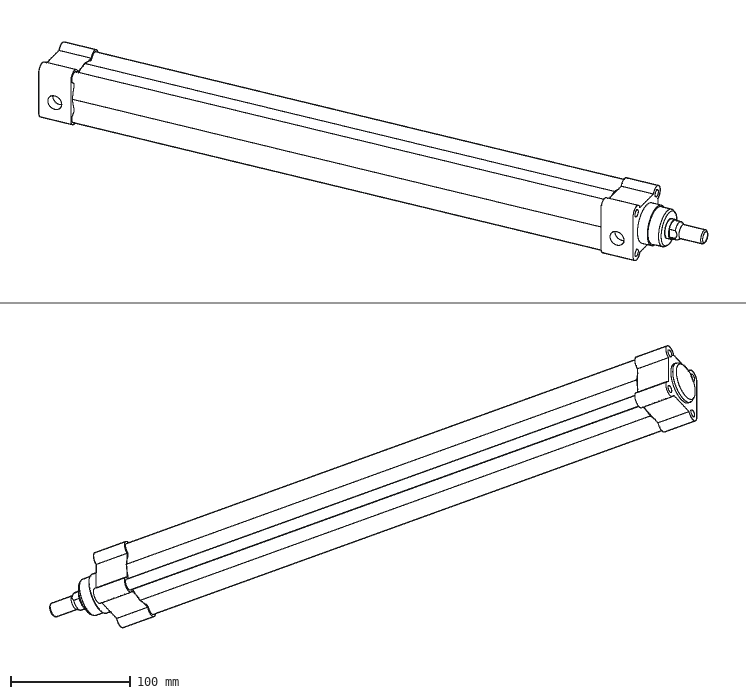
import cadquery as cq
import math

overall_length = 614.0
rear_boss_length = 4.0
cap_length = 30.0
front_boss_length = 21.0
barrel_length = 494.5
rear_cap_start = rear_boss_length
barrel_start = rear_cap_start + cap_length
front_cap_start = barrel_start + barrel_length
front_cap_end = front_cap_start + cap_length
front_boss_end = front_cap_end + front_boss_length

cap_width = 51.5
cap_corner_radius = 13.5 / 2
cap_recess_depth = 4.0
screw_hole_diameter = 6.0
screw_hole_depth = 5.0
screw_core_diameter = 3.5
screw_core_depth = 10.0
port_diameter = 13.0
port_depth = 9.0
port_drop = 5.5
cap_half = cap_width / 2
cap_lobe_offset = cap_half - cap_corner_radius
cap_floor = cap_half - cap_recess_depth
screw_spacing = 2 * cap_lobe_offset

boss_diameter = 35.0
rear_boss_chamfer_length = 2.5
rear_boss_chamfer_height = 2.0
boss_shoulder_length = 9.0
boss_nose_diameter = 32.5
nose_chamfer_length = 2.0
nose_chamfer_height = 1.0

barrel_radius = 45.0 / 2
barrel_lobe_radius = 5.0
barrel_lobe_offset = 19.0
barrel_fillet_radius = 3.5
ridge_half_angle = 12.0
barrel_side_count = 4
barrel_side_angle = 360 / barrel_side_count
barrel_lobe_angle = barrel_side_angle / 2

rod_diameter = 16.0
thread_diameter = 12.0
rod_flat_width = 14.0
rod_collar_diameter = 17.0
rod_collar_length = 3.5
rod_body_end = 592.0
rod_shoulder_chamfer = 3.0
thread_tip_chamfer = 1.0


def polar(radius, degrees):
    """Point at a given radius and angle in the cross-section plane."""
    angle = math.radians(degrees)
    return (radius * math.cos(angle), radius * math.sin(angle))


def toward(start, end, distance):
    """Point at a given distance from start on the line to end."""
    fraction = distance / math.dist(start, end)
    return (start[0] + fraction * (end[0] - start[0]), start[1] + fraction * (end[1] - start[1]))


def mirrored(point):
    """Point mirrored across the diagonal through a lobe."""
    return (point[1], point[0])


def rotated(point, degrees):
    """Point rotated about the cylinder axis."""
    return polar(math.hypot(*point), math.degrees(math.atan2(point[1], point[0])) + degrees)


def revolved_about_axis(start, profile):
    """Solid of revolution about X from (axial distance, radius) points."""
    outline = [(0, 0)] + profile + [(profile[-1][0], 0)]
    return (
        cq.Workplane("XY", origin=(start, 0, 0))
        .polyline(outline)
        .close()
        .revolve(360, (0, 0, 0), (1, 0, 0))
    )


def cross_section(x):
    """Workplane across the cylinder axis: local X is +Y, local Y is +Z."""
    return cq.Workplane("YZ", origin=(x, 0, 0))


def corner_points(x, spacing):
    """Cross-section workplane with a point at each corner of a centred square."""
    return cross_section(x).rect(spacing, spacing, forConstruction=True).vertices()


def cap_block(start):
    """Cap body: a recessed core, a flat -Y side and four round corner lobes."""
    core_depth = cap_floor + cap_lobe_offset
    core_middle = cap_floor - core_depth / 2
    core = cross_section(start).center(core_middle, 0).rect(core_depth, 2 * cap_floor).extrude(cap_length)

    side_middle = cap_corner_radius / 2 - cap_half
    side_outline = cross_section(start).center(side_middle, 0).rect(cap_corner_radius, 2 * cap_lobe_offset)
    flat_side = side_outline.extrude(cap_length)

    lobes = corner_points(start, 2 * cap_lobe_offset).circle(cap_corner_radius).extrude(cap_length)
    return core.union(flat_side).union(lobes)


def port(start):
    """Blind air port bored into the -Y side, below the axis."""
    middle = start + cap_length / 2
    plane = cq.Workplane("XZ", origin=(middle, -cap_half, -port_drop))
    return plane.circle(port_diameter / 2).extrude(-port_depth)


def screw_holes(face, inward):
    """Four stepped blind holes in a cap's outer face; inward is +1 or -1 along X."""
    centers = corner_points(face, screw_spacing)
    entries = centers.circle(screw_hole_diameter / 2).extrude(inward * screw_hole_depth)
    cores = centers.circle(screw_core_diameter / 2).extrude(inward * screw_core_depth)
    return entries.union(cores)


def rear_cap_body():
    """Rear cap with a short chamfered boss."""
    radius = boss_diameter / 2
    boss = revolved_about_axis(0, [
        (0, radius - rear_boss_chamfer_height),
        (rear_boss_chamfer_length, radius),
        (rear_boss_length, radius),
    ])
    cap = cap_block(rear_cap_start).union(boss)
    return cap.cut(port(rear_cap_start)).cut(screw_holes(rear_cap_start, 1))


def front_cap_body():
    """Front cap with a stepped boss, bored through for the rod."""
    shoulder_radius = boss_diameter / 2
    nose_radius = boss_nose_diameter / 2
    boss = revolved_about_axis(front_cap_end, [
        (0, shoulder_radius),
        (boss_shoulder_length, shoulder_radius),
        (boss_shoulder_length, nose_radius),
        (front_boss_length - nose_chamfer_length, nose_radius),
        (front_boss_length, nose_radius - nose_chamfer_height),
    ])
    cap = cap_block(front_cap_start).union(boss)
    cap = cap.cut(port(front_cap_start)).cut(screw_holes(front_cap_end, -1))
    bore = cross_section(front_cap_start).circle(rod_diameter / 2)
    return cap.cut(bore.extrude(cap_length + front_boss_length))


def barrel_body():
    """Extruded profile: per quarter, ridge flank, body arc, filleted lobe, body arc, ridge flank."""
    apex_radius = barrel_radius / math.cos(math.radians(ridge_half_angle))
    lobe_center = (barrel_lobe_offset, barrel_lobe_offset)
    lobe_distance = math.hypot(*lobe_center)
    lobe_tip = polar(lobe_distance + barrel_lobe_radius, barrel_lobe_angle)

    fillet_distance = barrel_radius + barrel_fillet_radius
    lobe_to_fillet = barrel_lobe_radius + barrel_fillet_radius
    cosine = (fillet_distance**2 + lobe_distance**2 - lobe_to_fillet**2) / (2 * fillet_distance * lobe_distance)
    fillet_angle = barrel_lobe_angle - math.degrees(math.acos(cosine))
    fillet_center = polar(fillet_distance, fillet_angle)

    body_arc_start = polar(barrel_radius, ridge_half_angle)
    body_arc_middle = polar(barrel_radius, (ridge_half_angle + fillet_angle) / 2)
    body_arc_end = polar(barrel_radius, fillet_angle)
    lobe_start = toward(lobe_center, fillet_center, barrel_lobe_radius)
    fillet_chord_middle = ((body_arc_end[0] + lobe_start[0]) / 2, (body_arc_end[1] + lobe_start[1]) / 2)
    fillet_middle = toward(fillet_center, fillet_chord_middle, barrel_fillet_radius)

    profile = cross_section(barrel_start).moveTo(apex_radius, 0)
    for quarter in range(barrel_side_count):
        angle = barrel_side_angle * quarter
        arcs = [
            (body_arc_middle, body_arc_end),
            (fillet_middle, lobe_start),
            (lobe_tip, mirrored(lobe_start)),
            (mirrored(fillet_middle), mirrored(body_arc_end)),
            (mirrored(body_arc_middle), mirrored(body_arc_start)),
        ]
        profile = profile.lineTo(*rotated(body_arc_start, angle))
        for middle, end in arcs:
            profile = profile.threePointArc(rotated(middle, angle), rotated(end, angle))
        profile = profile.lineTo(*polar(apex_radius, angle + barrel_side_angle))
    return profile.close().extrude(barrel_length)


def rod_body():
    """Piston rod from the barrel face to the threaded tip, with a collar and two flats facing +-Y."""
    rod_radius = rod_diameter / 2
    thread_radius = thread_diameter / 2
    collar_radius = rod_collar_diameter / 2
    collar_start = front_boss_end - front_cap_start
    collar_end = collar_start + rod_collar_length
    body_length = rod_body_end - front_cap_start
    tip = overall_length - front_cap_start
    rod = revolved_about_axis(front_cap_start, [
        (0, rod_radius),
        (collar_start, rod_radius),
        (collar_start, collar_radius),
        (collar_end, collar_radius),
        (collar_end, rod_radius),
        (body_length - rod_shoulder_chamfer, rod_radius),
        (body_length, thread_radius),
        (tip - thread_tip_chamfer, thread_radius),
        (tip, thread_radius - thread_tip_chamfer),
    ])
    flat_start = front_boss_end + rod_collar_length
    flat_length = rod_body_end - flat_start
    flat_middle = flat_start + flat_length / 2
    for side in (-1, 1):
        cutter = cq.Workplane("XY").box(flat_length, rod_diameter, rod_diameter)
        rod = rod.cut(cutter.translate((flat_middle, side * (rod_flat_width + rod_diameter) / 2, 0)))
    return rod


rear_cap = rear_cap_body()
barrel = barrel_body()
front_cap = front_cap_body()
rod = rod_body()

result = cq.Compound.makeCompound([rear_cap.val(), barrel.val(), front_cap.val(), rod.val()])